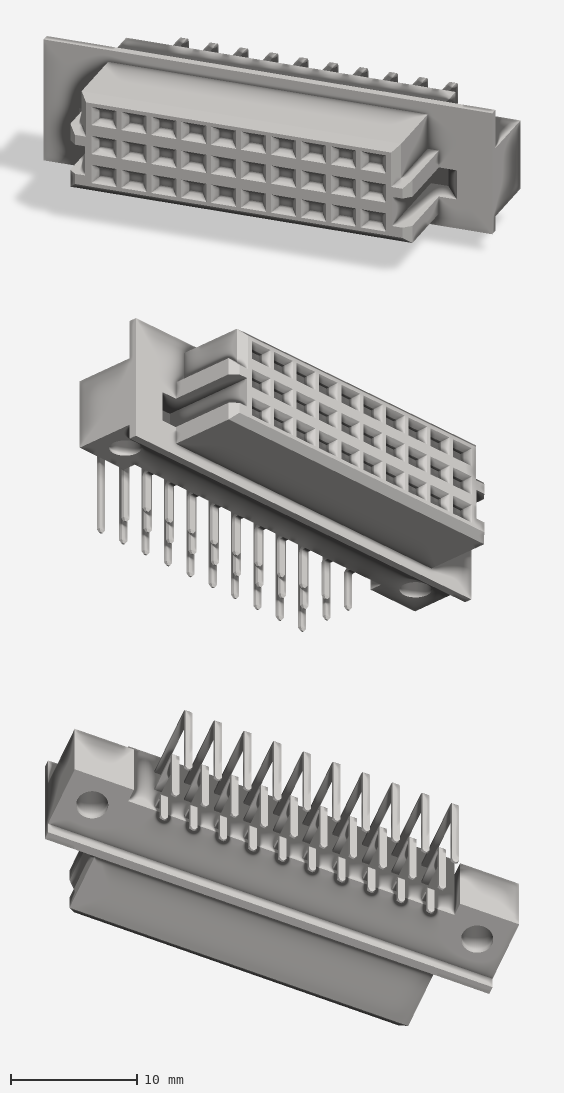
import cadquery as cq
import math


TOTAL_DEPTH = 17.88
TOTAL_HEIGHT = 12.15

COLUMNS = 10
ROWS = 3
GRID_LENGTH = 22.87
PITCH = GRID_LENGTH / (COLUMNS - 1)

FLANGE_LENGTH = 38.12
FLANGE_HEIGHT = 10.6
FLANGE_THICKNESS = 0.7

SHELL_LENGTH = 6.45
SHELL_UPPER_HALF = 13.57
SHELL_LOWER_HALF = 14.52
SHELL_HALF_HEIGHT = 4.27
SHELL_STEP_Z = 1.25
TIP_BEVEL = 0.6

OPENING_WIDTH = 2.15
OPENING_HEIGHT = 1.6
OPENING_SIDE_INSET = 0.45
OPENING_TOP_INSET = 0.4
OPENING_LEAD_IN = 0.5
OPENING_THROAT_DEPTH = 0.3

SLOT_INNER_HALF = 13.05
SLOT_RAMP_HALF = 16.05
SLOT_HEIGHT = 2.55
SLOT_Z = -1.5
SLOT_DEPTH_BEHIND_FLANGE_FACE = 2.1

BODY_HALF_LENGTH = 14.0
BODY_REAR = 5.07
BODY_TOP = 4.08
BODY_BOTTOM = -4.05
GUSSET_REAR = 2.1
GUSSET_ANGLE = 30.0

EAR_REAR = 6.2
EAR_TOP = 1.95
HOLE_DIAMETER = 2.55
HOLE_X = 16.5
HOLE_Y = 3.65

PIN_WIDTH = 0.6
PIN_THICKNESS = 0.3
PIN_BOTTOM = FLANGE_HEIGHT / 2 - TOTAL_HEIGHT
PIN_REARS = (TOTAL_DEPTH - SHELL_LENGTH, 8.73, 6.35)
PIN_TOP_ROW_Z = 1.68
PIN_BEND_RADIUS = 0.45
PIN_POINT_LENGTH = 0.25
PIN_POINT_SIDE_INSET = 0.2
PIN_POINT_FACE_INSET = 0.08
PIN_EMBED = 0.4


def box(x_range, y_range, z_range):
    """Axis-aligned block between three pairs of limits."""
    (x0, x1), (y0, y1), (z0, z1) = x_range, y_range, z_range
    return cq.Workplane("XY").box(x1 - x0, y1 - y0, z1 - z0, centered=False).translate((x0, y0, z0))


def both_ends(shape):
    """A shape at +X together with its mirror image at -X."""
    return shape.union(shape.mirror("YZ"))


def centred_positions(count):
    """Positions of a row of contacts, centred on zero."""
    return [(i - (count - 1) / 2) * PITCH for i in range(count)]


def make_flange():
    half = FLANGE_LENGTH / 2
    return box((-half, half), (0, FLANGE_THICKNESS), (-FLANGE_HEIGHT / 2, FLANGE_HEIGHT / 2))


def shell_outline(inset):
    """Stepped outline of the shell, drawn in by the given inset."""
    upper = SHELL_UPPER_HALF - inset
    lower = SHELL_LOWER_HALF - inset
    top = SHELL_HALF_HEIGHT - inset
    step = SHELL_STEP_Z - inset
    right = [(lower, -top), (lower, step), (upper, step), (upper, top)]
    left = [(-x, z) for x, z in reversed(right)]
    return right + left


def make_shell():
    straight_length = SHELL_LENGTH - TIP_BEVEL
    root = shell_outline(0)
    tip = shell_outline(TIP_BEVEL)
    straight = cq.Workplane("XZ").polyline(root).close().extrude(straight_length)
    bevelled_tip = (
        cq.Workplane("XZ", origin=(0, -straight_length, 0))
        .polyline(root).close()
        .workplane(offset=TIP_BEVEL)
        .polyline(tip).close()
        .loft(ruled=True)
    )
    return straight.union(bevelled_tip)


def make_body():
    """Central block, with gussets above the ears and an ear at each end."""
    block = box(
        (-BODY_HALF_LENGTH, BODY_HALF_LENGTH), (0, BODY_REAR), (BODY_BOTTOM, BODY_TOP)
    )
    gusset_reach = (GUSSET_REAR - FLANGE_THICKNESS) / math.tan(math.radians(GUSSET_ANGLE))
    gusset = (
        cq.Workplane("XY", origin=(0, 0, EAR_TOP))
        .polyline([
            (BODY_HALF_LENGTH, FLANGE_THICKNESS),
            (BODY_HALF_LENGTH + gusset_reach, FLANGE_THICKNESS),
            (BODY_HALF_LENGTH, GUSSET_REAR),
        ])
        .close()
        .extrude(BODY_TOP - EAR_TOP)
    )
    ear = box((BODY_HALF_LENGTH, FLANGE_LENGTH / 2), (0, EAR_REAR), (BODY_BOTTOM, EAR_TOP))
    hole = (
        cq.Workplane("XY", origin=(HOLE_X, HOLE_Y, BODY_BOTTOM))
        .circle(HOLE_DIAMETER / 2)
        .extrude(EAR_TOP - BODY_BOTTOM)
    )
    return block.union(both_ends(gusset)).union(both_ends(ear.cut(hole)))


def make_keying_slots():
    """Slot through the end of the shell, with a ramp back out to the flange face."""
    slot = (
        cq.Workplane("XY", origin=(0, 0, SLOT_Z - SLOT_HEIGHT / 2))
        .polyline([
            (SLOT_INNER_HALF, -SHELL_LENGTH),
            (SLOT_RAMP_HALF, -SHELL_LENGTH),
            (SLOT_RAMP_HALF, 0),
            (SHELL_LOWER_HALF, SLOT_DEPTH_BEHIND_FLANGE_FACE),
            (SLOT_INNER_HALF, SLOT_DEPTH_BEHIND_FLANGE_FACE),
        ])
        .close()
        .extrude(SLOT_HEIGHT)
    )
    return both_ends(slot)


def make_openings():
    """Grid of blind openings, each with a tapered lead-in and a straight throat."""
    throat_width = OPENING_WIDTH - 2 * OPENING_SIDE_INSET
    throat_height = OPENING_HEIGHT - 2 * OPENING_TOP_INSET
    lead_in = (
        cq.Workplane("XZ", origin=(0, OPENING_LEAD_IN - SHELL_LENGTH, 0))
        .rect(throat_width, throat_height)
        .workplane(offset=OPENING_LEAD_IN)
        .rect(OPENING_WIDTH, OPENING_HEIGHT)
        .loft(ruled=True)
    )
    throat = (
        cq.Workplane("XZ", origin=(0, OPENING_LEAD_IN - SHELL_LENGTH, 0))
        .rect(throat_width, throat_height)
        .extrude(-OPENING_THROAT_DEPTH)
    )
    opening = lead_in.union(throat).val()
    places = [(x, 0, z) for x in centred_positions(COLUMNS) for z in centred_positions(ROWS)]
    return cq.Workplane("XY").pushPoints(places).eachpoint(opening.moved)


def make_pin(row):
    """Pin of one row, counted from the top: out of the body, then bent down to a point."""
    rear = PIN_REARS[row]
    top = PIN_TOP_ROW_Z - row * PITCH + PIN_THICKNESS / 2
    start = BODY_REAR - PIN_EMBED
    shoulder = PIN_BOTTOM + PIN_POINT_LENGTH
    inner_radius = PIN_BEND_RADIUS - PIN_THICKNESS
    bend_y = rear - PIN_BEND_RADIUS
    bend_z = top - PIN_BEND_RADIUS
    diagonal = math.sqrt(0.5)
    tip_width = PIN_WIDTH - 2 * PIN_POINT_SIDE_INSET
    tip_thickness = PIN_THICKNESS - 2 * PIN_POINT_FACE_INSET
    bent_strip = (
        cq.Workplane("YZ", origin=(-PIN_WIDTH / 2, 0, 0))
        .moveTo(start, top)
        .lineTo(bend_y, top)
        .threePointArc(
            (bend_y + PIN_BEND_RADIUS * diagonal, bend_z + PIN_BEND_RADIUS * diagonal),
            (rear, bend_z),
        )
        .lineTo(rear, shoulder)
        .lineTo(rear - PIN_THICKNESS, shoulder)
        .lineTo(rear - PIN_THICKNESS, bend_z)
        .threePointArc(
            (bend_y + inner_radius * diagonal, bend_z + inner_radius * diagonal),
            (bend_y, top - PIN_THICKNESS),
        )
        .lineTo(start, top - PIN_THICKNESS)
        .close()
        .extrude(PIN_WIDTH)
    )
    point = (
        cq.Workplane("XY", origin=(0, rear - PIN_THICKNESS / 2, PIN_BOTTOM))
        .rect(tip_width, tip_thickness)
        .workplane(offset=PIN_POINT_LENGTH)
        .rect(PIN_WIDTH, PIN_THICKNESS)
        .loft(ruled=True)
    )
    return bent_strip.union(point)


housing = make_flange().union(make_shell()).union(make_body())
housing = housing.cut(make_keying_slots()).cut(make_openings())

result = housing
for row in range(ROWS):
    pin = make_pin(row)
    for x in centred_positions(COLUMNS):
        result = result.union(pin.translate((x, 0, 0)))